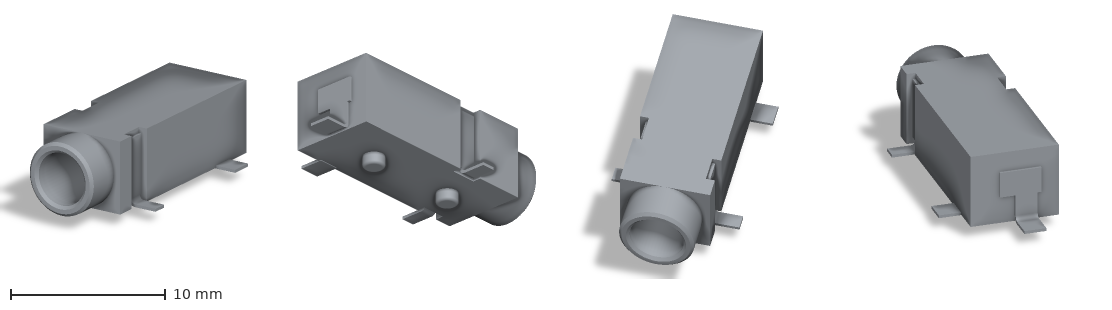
import cadquery as cq
import math


HOUSING_WIDTH = 6.0
HOUSING_LENGTH = 14.5
HOUSING_HEIGHT = 5.0

SLEEVE_LENGTH = 2.5
SLEEVE_RADIUS = HOUSING_HEIGHT / 2
BORE_RADIUS = 1.8
BORE_DEPTH = 14.0
RIM_CHAMFER = 0.2

PEG_RADIUS = 0.75
PEG_LENGTH = 0.8
PEG_TIP_FILLET = 0.2
PEG_YS = (3.5, 10.5)

SHEET = 0.2
BEND_INNER_RADIUS = 0.3
BEND_OUTER_RADIUS = BEND_INNER_RADIUS + SHEET
FOOT_BOTTOM = -0.05
BEND_TOP = FOOT_BOTTOM + BEND_OUTER_RADIUS
FOOT_TIP_X = 4.5

RECESS_DEPTH = 0.6
LEFT_RECESS_Y = (3.6, 5.5)
RIGHT_RECESS_Y = (1.3, 3.05)
SIDE_PLATE_WIDTH = 1.75
SIDE_PLATE_TOP = 4.6
SIDE_FOOT_WIDTH = 1.0
SIDE_FOOT_OFFSET = 0.2

REAR_PLATE_X = (-1.75, 1.05)
REAR_PLATE_Z = (1.9, 3.65)
REAR_FOOT_X = (-1.5, 0.0)
REAR_FOOT_REACH = 2.0

PAD_Y = (11.0, 12.5)
PAD_ROOT_X = 2.8


def box(x_range, y_range, z_range):
    """Axis-aligned block between the given limits."""
    size = [high - low for low, high in (x_range, y_range, z_range)]
    corner = (x_range[0], y_range[0], z_range[0])
    return cq.Workplane("XY").box(*size, centered=False).translate(corner)


def bent_foot(y_range, reach, top):
    """Strip that drops down the plane x = 0 and bends outward along +X into a solder foot."""
    foot_top = FOOT_BOTTOM + SHEET
    diagonal = math.sqrt(0.5)
    bend_x = BEND_OUTER_RADIUS
    outer_mid = (bend_x - BEND_OUTER_RADIUS * diagonal, BEND_TOP - BEND_OUTER_RADIUS * diagonal)
    inner_mid = (bend_x - BEND_INNER_RADIUS * diagonal, BEND_TOP - BEND_INNER_RADIUS * diagonal)
    return (
        cq.Workplane("XZ", origin=(0, y_range[1], 0))
        .moveTo(0, top)
        .lineTo(0, BEND_TOP)
        .threePointArc(outer_mid, (bend_x, FOOT_BOTTOM))
        .lineTo(reach, FOOT_BOTTOM)
        .lineTo(reach, foot_top)
        .lineTo(bend_x, foot_top)
        .threePointArc(inner_mid, (SHEET, BEND_TOP))
        .lineTo(SHEET, top)
        .close()
        .extrude(y_range[1] - y_range[0])
    )


def make_rear_terminal():
    foot_y = (-REAR_FOOT_X[1], -REAR_FOOT_X[0])
    foot = bent_foot(foot_y, REAR_FOOT_REACH, REAR_PLATE_Z[0])
    plate = box((0, SHEET), (-REAR_PLATE_X[1], -REAR_PLATE_X[0]), REAR_PLATE_Z)
    terminal = foot.union(plate)
    return terminal.rotate((0, 0, 0), (0, 0, 1), 90).translate((0, HOUSING_LENGTH, 0))


def make_housing():
    half_width = HOUSING_WIDTH / 2
    recess_floor = half_width - RECESS_DEPTH
    full_height = (0, HOUSING_HEIGHT)

    body = box((-half_width, half_width), (0, HOUSING_LENGTH), full_height)
    body = body.cut(box((-half_width, -recess_floor), LEFT_RECESS_Y, full_height))
    body = body.cut(box((recess_floor, half_width), RIGHT_RECESS_Y, full_height))

    front_rim = cq.Workplane("XZ", origin=(0, -SLEEVE_LENGTH, HOUSING_HEIGHT / 2))
    sleeve = front_rim.circle(SLEEVE_RADIUS).extrude(-SLEEVE_LENGTH).faces("<Y").chamfer(RIM_CHAMFER)
    bore = front_rim.circle(BORE_RADIUS).extrude(-BORE_DEPTH)
    bore_mouth = front_rim.circle(BORE_RADIUS + RIM_CHAMFER).extrude(-RIM_CHAMFER, taper=45)
    body = body.union(sleeve).cut(bore).cut(bore_mouth)

    for peg_y in PEG_YS:
        peg = cq.Workplane("XY", origin=(0, peg_y, 0)).circle(PEG_RADIUS).extrude(-PEG_LENGTH)
        body = body.union(peg.faces("<Z").fillet(PEG_TIP_FILLET))

    pad = box((PAD_ROOT_X, FOOT_TIP_X), PAD_Y, (FOOT_BOTTOM, FOOT_BOTTOM + SHEET))
    return body.union(pad).union(make_rear_terminal())


def make_side_terminal(side, rear_y):
    """Terminal on the -X (side = -1) or +X (side = 1) wall; rear_y is its plate's rear edge.

    The two terminals are the same part turned by half a turn about Z.
    """
    recess_floor = HOUSING_WIDTH / 2 - RECESS_DEPTH
    plate_y = (0, SIDE_PLATE_WIDTH)
    foot_rear = SIDE_PLATE_WIDTH - SIDE_FOOT_OFFSET
    foot_y = (foot_rear - SIDE_FOOT_WIDTH, foot_rear)
    plate = box((0, SHEET), plate_y, (BEND_TOP, SIDE_PLATE_TOP))
    foot = bent_foot(foot_y, FOOT_TIP_X - recess_floor, SIDE_PLATE_TOP)
    terminal = plate.union(foot)
    if side < 0:
        terminal = terminal.rotate((0, 0, 0), (0, 0, 1), 180)
        return terminal.translate((-recess_floor, rear_y, 0))
    return terminal.translate((recess_floor, rear_y - SIDE_PLATE_WIDTH, 0))


housing = make_housing()
side_terminals = [
    make_side_terminal(side, recess_y[1])
    for side, recess_y in ((-1, LEFT_RECESS_Y), (1, RIGHT_RECESS_Y))
]

result = cq.Compound.makeCompound([housing.val(), *[terminal.val() for terminal in side_terminals]])